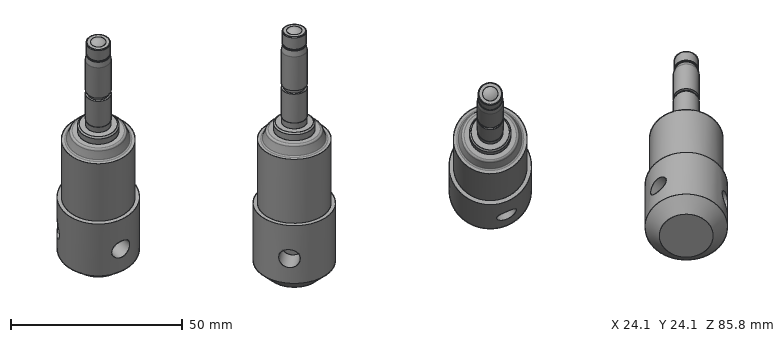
import cadquery as cq
import math

TOTAL_HEIGHT = 85.85

COLLAR_RADIUS = 24.13 / 2
COLLAR_CHAMFER = 4.2
COLLAR_TOP = 24.5

BARREL_RADIUS = 21.59 / 2
BARREL_TOP = 46.99

SHOULDER_BASE_RADIUS = 9.45
SHOULDER_TOP_RADIUS = 8.2
SHOULDER_TOP = 50.4
SHOULDER_TOP_FILLET = 0.8
SHOULDER_BASE_FILLET = 0.5

FLANGE_RADIUS = 6.08
FLANGE_TOP = 53.0
FLANGE_TOP_CHAMFER = 0.5

SHAFT_RADIUS = 3.81
ROOT_RADIUS = 3.75
ROOT_TOP = 55.05
GROOVE_RADIUS = 3.2
GROOVE_BOTTOM = 65.2
GROOVE_TOP = 66.45
SHAFT_TOP = 78.35

TAPER_TOP_RADIUS = 3.4
TAPER_TOP = 80.15
NECK_RADIUS = 3.3
HEAD_RADIUS = 3.55
HEAD_BOTTOM = 80.65
HEAD_CHAMFER = 0.25
HEAD_TOP = 85.1

BUTTON_RADIUS = 2.25

HOLE_DIAMETER = 6.35
HOLE_HEIGHT = 12.85
HOLE_FLOOR_DISTANCE = 5.3
HOLE_ANGLES = (90, 210, 330)


def disc(radius, bottom, top):
    """Cylinder on the Z axis between two heights."""
    return cq.Workplane("XY").workplane(offset=bottom).circle(radius).extrude(top - bottom)


def make_collar():
    collar = disc(COLLAR_RADIUS, 0, COLLAR_TOP)
    return collar.faces("<Z").chamfer(COLLAR_CHAMFER)


def make_barrel():
    """Barrel with the conical shoulder rounded at its rim and blended at its foot."""
    profile = [
        (0, COLLAR_TOP),
        (BARREL_RADIUS, COLLAR_TOP),
        (BARREL_RADIUS, BARREL_TOP),
        (SHOULDER_BASE_RADIUS, BARREL_TOP),
        (SHOULDER_TOP_RADIUS, SHOULDER_TOP),
        (0, SHOULDER_TOP),
    ]
    barrel = cq.Workplane("XZ").polyline(profile).close().revolve(360, (0, 0), (0, 1))
    barrel = barrel.faces(">Z").edges().fillet(SHOULDER_TOP_FILLET)
    second_largest = cq.selectors.RadiusNthSelector(-2)
    return barrel.edges("%CIRCLE").edges(second_largest).fillet(SHOULDER_BASE_FILLET)


def make_flange():
    flange = disc(FLANGE_RADIUS, SHOULDER_TOP, FLANGE_TOP)
    return flange.faces(">Z").chamfer(FLANGE_TOP_CHAMFER)


def make_shaft():
    """Shaft, groove, taper, neck and head as one revolved profile."""
    profile = [
        (0, FLANGE_TOP),
        (ROOT_RADIUS, FLANGE_TOP),
        (ROOT_RADIUS, ROOT_TOP),
        (SHAFT_RADIUS, ROOT_TOP),
        (SHAFT_RADIUS, GROOVE_BOTTOM),
        (GROOVE_RADIUS, GROOVE_BOTTOM),
        (GROOVE_RADIUS, GROOVE_TOP),
        (SHAFT_RADIUS, GROOVE_TOP),
        (SHAFT_RADIUS, SHAFT_TOP),
        (TAPER_TOP_RADIUS, TAPER_TOP),
        (NECK_RADIUS, TAPER_TOP),
        (NECK_RADIUS, HEAD_BOTTOM),
        (HEAD_RADIUS, HEAD_BOTTOM),
        (HEAD_RADIUS, HEAD_TOP - HEAD_CHAMFER),
        (HEAD_RADIUS - HEAD_CHAMFER, HEAD_TOP),
        (0, HEAD_TOP),
    ]
    return cq.Workplane("XZ").polyline(profile).close().revolve(360, (0, 0), (0, 1))


def make_button():
    """Spherical cap whose edge lies on the head's top face."""
    cap_height = TOTAL_HEIGHT - HEAD_TOP
    sphere_radius = (BUTTON_RADIUS**2 + cap_height**2) / (2 * cap_height)
    center_height = TOTAL_HEIGHT - sphere_radius
    half_angle = math.asin(BUTTON_RADIUS / sphere_radius) / 2
    arc_middle = (
        sphere_radius * math.sin(half_angle),
        center_height + sphere_radius * math.cos(half_angle),
    )
    return (
        cq.Workplane("XZ")
        .moveTo(0, HEAD_TOP)
        .lineTo(BUTTON_RADIUS, HEAD_TOP)
        .threePointArc(arc_middle, (0, TOTAL_HEIGHT))
        .close()
        .revolve(360, (0, 0), (0, 1))
    )


def make_radial_hole(angle):
    """Flat-bottomed cutter running outwards in the direction given in degrees from +X."""
    hole = (
        cq.Workplane("YZ", origin=(HOLE_FLOOR_DISTANCE, 0, HOLE_HEIGHT))
        .circle(HOLE_DIAMETER / 2)
        .extrude(COLLAR_RADIUS)
    )
    return hole.rotate((0, 0, 0), (0, 0, 1), angle)


result = make_collar()
for section in (make_barrel(), make_flange(), make_shaft(), make_button()):
    result = result.union(section)
for hole_angle in HOLE_ANGLES:
    result = result.cut(make_radial_hole(hole_angle))